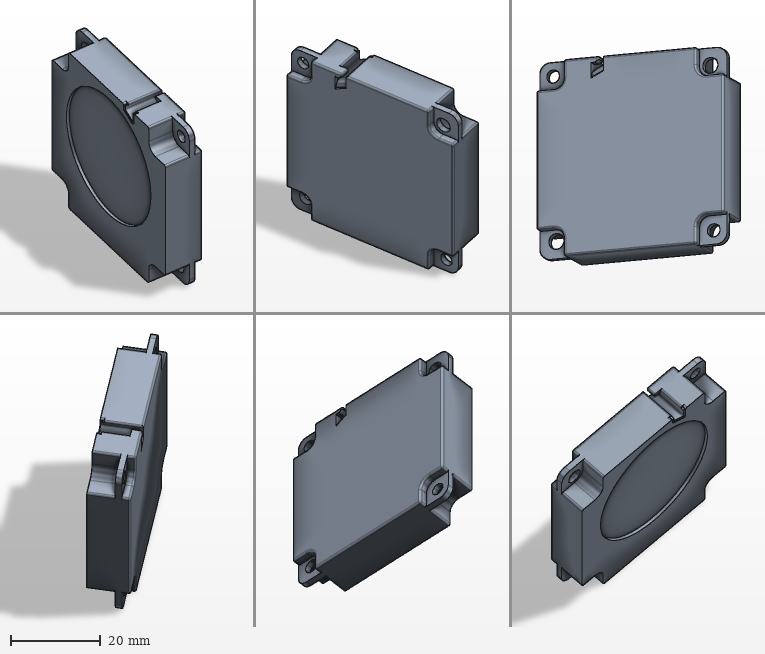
import cadquery as cq
import math

SIDE = 45.0
DEPTH = 9.95
HALF = SIDE / 2
FRONT_Y = -DEPTH / 2
BACK_Y = DEPTH / 2
EDGE_RADIUS = 0.5

NOTCH = 6.6
NOTCH_RADIUS = 2.6
TAB_BACK_GAP = 2.0
TAB_THICKNESS = 1.5
TAB_RADIUS = 2.5

LARGE_HOLE_DIAMETER = 3.6
LARGE_HOLE_OFFSET = 18.5
SMALL_HOLE_DIAMETER = 3.0
SMALL_HOLE_OFFSET = 19.3

RECESS_RADIUS = 16.75
RECESS_CENTER_Z = 3.3
RECESS_DEPTH = 0.8

SLOT_LEFT = 6.4
SLOT_WIDTH = 3.0
SLOT_RIGHT = SLOT_LEFT + SLOT_WIDTH
SLOT_LEFT_DROP = 1.35
SLOT_RIGHT_DROP = 2.8
SLOT_CORNER_RADIUS = 0.15
SLOT_MOUTH_RADIUS = 0.4

RIM_WIDTH = 0.5
RIM_DEPTH = 1.0
RIM_FRONT_GAP = 0.15
RIM_TOP_DROP = 0.4
RIM_POCKET_CORNER_RADIUS = 0.5
RIM_POCKET_MOUTH_RADIUS = 0.5

GROOVE_DEPTH = 0.5
GROOVE_DROP = 2.0
FLOOR_EDGE_RADIUS = 1.5

LIP_GAP = 1.1
LIP_LENGTH_Y = 2.5
LIP_TIP_HEIGHT = 0.7
LIP_THICKNESS = 1.3
LIP_SLOPE_RUN = 1.0
LIP_TIP_RADIUS = 0.3
LIP_FRONT_RADIUS = 0.3

TOLERANCE = 0.01



def front_sketch(y):
    """Workplane at depth y whose local axes are X and Z; extrude a negative length toward +Y."""
    return cq.Workplane("XZ", origin=(0, y, 0))


def prism(points, y_start, y_end):
    """Solid with an (X, Z) outline between two depths."""
    return front_sketch(y_start).polyline(points).close().extrude(y_start - y_end)


def edges_near(solid, x, z, y_start, y_end):
    """Edges along Y that lie at (x, z) between two depths."""
    box = cq.selectors.BoxSelector(
        (x - TOLERANCE, y_start - TOLERANCE, z - TOLERANCE),
        (x + TOLERANCE, y_end + TOLERANCE, z + TOLERANCE),
    )
    return solid.edges("|Y").edges(box)


def make_body():
    """Cross-shaped housing: a square with a rounded notch at each corner."""
    body = front_sketch(FRONT_Y).rect(SIDE, SIDE).extrude(-DEPTH)
    for sx in (-1, 1):
        for sz in (-1, 1):
            notch = (
                front_sketch(FRONT_Y)
                .center(sx * HALF, sz * HALF)
                .rect(2 * NOTCH, 2 * NOTCH)
                .extrude(-DEPTH)
                .edges("|Y")
                .fillet(NOTCH_RADIUS)
            )
            body = body.cut(notch)
    for side in (">X", "<X", ">Z", "<Z"):
        body = body.faces(side).edges("|Y").fillet(EDGE_RADIUS)
    return body


def make_tabs():
    """Four drilled corner tabs that fill the notches and overlap into the housing."""
    y_end = BACK_Y - TAB_BACK_GAP
    reach = NOTCH + NOTCH_RADIUS
    center = HALF - reach / 2
    tabs = None
    for sx in (-1, 1):
        for sz in (-1, 1):
            tab = (
                front_sketch(y_end - TAB_THICKNESS)
                .center(sx * center, sz * center)
                .rect(reach, reach)
                .extrude(-TAB_THICKNESS)
            )
            tab = edges_near(tab, sx * HALF, sz * HALF, FRONT_Y, BACK_Y)
            tab = tab.fillet(TAB_RADIUS)
            small = sx == sz
            diameter = SMALL_HOLE_DIAMETER if small else LARGE_HOLE_DIAMETER
            offset = SMALL_HOLE_OFFSET if small else LARGE_HOLE_OFFSET
            hole = (
                front_sketch(FRONT_Y)
                .center(sx * offset, sz * offset)
                .circle(diameter / 2)
                .extrude(-DEPTH)
            )
            tab = tab.cut(hole)
            tabs = tab if tabs is None else tabs.union(tab)
    return tabs


def slot_outline(offset, extra_drop=0.0):
    """Slot outline enlarged by offset on its walls and its sloped floor."""
    slope = math.atan2(SLOT_RIGHT_DROP - SLOT_LEFT_DROP, SLOT_WIDTH)
    drop = offset / math.cos(slope) + extra_drop
    rise = offset * math.tan(slope)
    left = SLOT_LEFT - offset
    right = SLOT_RIGHT + offset
    return [
        (left, HALF),
        (left, HALF - SLOT_LEFT_DROP - drop + rise),
        (right, HALF - SLOT_RIGHT_DROP - drop - rise),
        (right, HALF),
    ]


def rounded_slot(outline, y_start, y_end, radius):
    """Slot-shaped solid with rounded floor corners."""
    cutter = prism(outline, y_start, y_end)
    for x, z in outline[1:3]:
        cutter = edges_near(cutter, x, z, y_start, y_end).fillet(radius)
    return cutter


def mouth_rounding(outline, y_start, y_end, radius):
    """Cutter that rounds both edges where a slot meets the top face."""
    left = outline[0][0]
    right = outline[3][0]
    cutter = prism(
        [
            (left - radius, HALF),
            (left - radius, HALF - radius),
            (right + radius, HALF - radius),
            (right + radius, HALF),
        ],
        y_start,
        y_end,
    )
    for x in (left - radius, right + radius):
        bar = (
            front_sketch(y_start)
            .center(x, HALF - radius)
            .circle(radius)
            .extrude(y_start - y_end)
        )
        cutter = cutter.cut(bar)
    return cutter


def make_lip():
    """Overhanging lip joined to the right wall of the slot."""
    y_start = BACK_Y - LIP_LENGTH_Y
    tip = SLOT_LEFT + LIP_GAP
    root = SLOT_RIGHT + 2 * SLOT_MOUTH_RADIUS
    lip = prism(
        [
            (tip, HALF),
            (tip, HALF - LIP_TIP_HEIGHT),
            (tip + LIP_SLOPE_RUN, HALF - LIP_THICKNESS),
            (root, HALF - LIP_THICKNESS),
            (root, HALF),
        ],
        y_start,
        BACK_Y,
    )
    lip = lip.faces("<Z").edges("<Y").fillet(LIP_FRONT_RADIUS)
    lip = edges_near(lip, tip, HALF, y_start, BACK_Y).fillet(LIP_TIP_RADIUS)
    return lip.faces(">Y").edges(">Z").fillet(EDGE_RADIUS)


def make_rim():
    """Thin U-shaped rim that keeps the slot opening narrow at the front."""
    y_start = FRONT_Y + RIM_FRONT_GAP
    y_end = FRONT_Y + RIM_DEPTH
    outside = rounded_slot(slot_outline(RIM_WIDTH), y_start, y_end, RIM_POCKET_CORNER_RADIUS)
    inside = rounded_slot(slot_outline(0.0), y_start, y_end, SLOT_CORNER_RADIUS)
    top_trim = (
        front_sketch(y_start)
        .center(SLOT_LEFT + SLOT_WIDTH / 2, HALF)
        .rect(2 * SLOT_WIDTH, 2 * RIM_TOP_DROP)
        .extrude(y_start - y_end)
    )
    return outside.cut(inside).cut(top_trim)


def cut_slot(body):
    """Cut the slot with its back groove and front pocket, then add the rim and the lip."""
    slot = slot_outline(0.0)
    pocket = slot_outline(RIM_WIDTH)
    pocket_y = FRONT_Y + RIM_DEPTH
    groove_y = BACK_Y - GROOVE_DEPTH
    floor_end_y = groove_y - FLOOR_EDGE_RADIUS
    body = body.cut(prism(slot, FRONT_Y, BACK_Y))
    body = body.cut(prism(slot_outline(0.0, GROOVE_DROP), groove_y, BACK_Y))
    middle_z = HALF - (SLOT_LEFT_DROP + SLOT_RIGHT_DROP) / 2
    middle_x = SLOT_LEFT + SLOT_WIDTH / 2
    floor_edge = cq.selectors.NearestToPointSelector((middle_x, groove_y, middle_z))
    body = body.edges(floor_edge).fillet(FLOOR_EDGE_RADIUS)
    corner_fill = prism(slot, pocket_y, floor_end_y)
    corner_fill = corner_fill.cut(rounded_slot(slot, pocket_y, floor_end_y, SLOT_CORNER_RADIUS))
    body = body.union(corner_fill)
    body = body.cut(mouth_rounding(slot, FRONT_Y, BACK_Y, SLOT_MOUTH_RADIUS))
    body = body.cut(rounded_slot(pocket, FRONT_Y, pocket_y, RIM_POCKET_CORNER_RADIUS))
    body = body.cut(mouth_rounding(pocket, FRONT_Y, pocket_y, RIM_POCKET_MOUTH_RADIUS))
    return body.union(make_rim()).union(make_lip())


def cut_recess(body):
    """Cut the shallow round recess into the front face."""
    recess = (
        front_sketch(FRONT_Y)
        .center(0, RECESS_CENTER_Z)
        .circle(RECESS_RADIUS)
        .extrude(-RECESS_DEPTH)
    )
    return body.cut(recess)


housing = make_body()
housing = housing.faces(">Y").edges().fillet(EDGE_RADIUS)
housing = cut_slot(housing)
housing = cut_recess(housing)
result = housing.union(make_tabs())